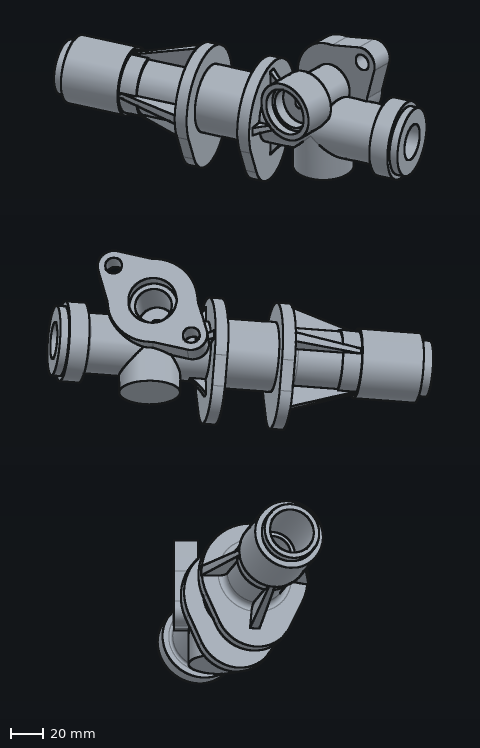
import cadquery as cq
import math

DIAGONAL = math.sqrt(0.5)

LENGTH = 236.3
STUB_END = 6.8
BODY_END = 45.4
SHOULDER_END = 57.3
FLANGE_THICKNESS = 8.1
FLANGE_STARTS = (90.0, 132.6)
COLLAR_START = 218.6
COLLAR_END = 230.9
STUB_RADIUS = 17.5
BODY_RADIUS = 21.8
SHOULDER_RADIUS = 20.0
NECK_RADIUS = 19.0
COLLAR_RADIUS = 25.0
FLANGE_FILLET = 4.5
COLLAR_FILLET = 2.0

BORE_RADIUS = 11.4
COUNTERBORE_RADIUS = 14.0

FLANGE_RADIUS = 34.0
FLANGE_TIP_RADIUS = 25.0
FLANGE_BOTTOM = 46.35

RIB_ANGLE = 10.0
RIB_ROOT_DEPTH = 2.0
LONG_RIB_START = 46.3
LONG_RIB_TOP = 34.6
SHORT_RIB_LENGTH = 9.8
SHORT_RIB_TOP = 29.2
SHORT_RIB_HOLLOW = 0.9

BRANCH_X = 175.8
BRANCH_RADIUS = NECK_RADIUS
BRANCH_BOTTOM = 30.2

PORT_ANGLE = 15.0
PORT_FACE_X = 163.7
PORT_FACE_Y = -30.8
PORT_Z = 20.0
PORT_COLLAR_RADIUS = 19.0
PORT_COLLAR_LENGTH = 21.8
PORT_SHAFT_RADIUS = 14.0
MOUTH_RADIUS = 15.0
MOUTH_DEPTH = 6.0
SOCKET_RADIUS = 13.0
SOCKET_DEPTH = 14.0
WEB_THICKNESS = 8.2
WEB_HOLE_RADIUS = 3.2
PORT_BORE_RADIUS = BORE_RADIUS
REAR_RECESS_RADIUS = MOUTH_RADIUS
REAR_RECESS_DEPTH = 9.0

PLATE_DISTANCE = 46.0
PLATE_THICKNESS = 15.0
PLATE_FAR_SIDE = PLATE_DISTANCE + PLATE_THICKNESS
PLATE_RADIUS = 28.0
EAR_OFFSET = 24.14
EAR_RADIUS = 10.0
EAR_HOLE_RADIUS = 5.2


def x_cylinder(start, end, radius):
    """Cylinder on the main axis between two X stations."""
    return cq.Workplane("YZ", origin=(start, 0, 0)).circle(radius).extrude(end - start)


def main_tube():
    """Revolved outside of the tube, with fillets where the neck meets a flange and the collar."""
    flange_face = FLANGE_STARTS[0]
    middle_end = FLANGE_STARTS[1] + FLANGE_THICKNESS
    bulge = 1 - DIAGONAL
    profile = (
        cq.Workplane("XY")
        .moveTo(0, 0)
        .lineTo(0, STUB_RADIUS)
        .lineTo(STUB_END, STUB_RADIUS)
        .lineTo(STUB_END, BODY_RADIUS)
        .lineTo(BODY_END, BODY_RADIUS)
        .lineTo(BODY_END, SHOULDER_RADIUS)
        .lineTo(SHOULDER_END, SHOULDER_RADIUS)
        .lineTo(SHOULDER_END, NECK_RADIUS)
        .lineTo(flange_face - FLANGE_FILLET, NECK_RADIUS)
        .threePointArc(
            (
                flange_face - FLANGE_FILLET * bulge,
                NECK_RADIUS + FLANGE_FILLET * bulge,
            ),
            (flange_face, NECK_RADIUS + FLANGE_FILLET),
        )
        .lineTo(flange_face + FLANGE_THICKNESS, NECK_RADIUS + FLANGE_FILLET)
        .lineTo(flange_face + FLANGE_THICKNESS, BODY_RADIUS)
        .lineTo(middle_end, BODY_RADIUS)
        .lineTo(middle_end, NECK_RADIUS)
        .lineTo(COLLAR_START - COLLAR_FILLET, NECK_RADIUS)
        .threePointArc(
            (
                COLLAR_START - COLLAR_FILLET * bulge,
                NECK_RADIUS + COLLAR_FILLET * bulge,
            ),
            (COLLAR_START, NECK_RADIUS + COLLAR_FILLET),
        )
        .lineTo(COLLAR_START, COLLAR_RADIUS)
        .lineTo(COLLAR_END, COLLAR_RADIUS)
        .lineTo(COLLAR_END, BODY_RADIUS)
        .lineTo(LENGTH, BODY_RADIUS)
        .lineTo(LENGTH, 0)
        .close()
    )
    return profile.revolve(360, (0, 0, 0), (1, 0, 0))


def tube_flange(start):
    """Disc around the tube joined by tangent lines to a smaller round tip below."""
    tip_z = FLANGE_TIP_RADIUS - FLANGE_BOTTOM
    rise = (FLANGE_RADIUS - FLANGE_TIP_RADIUS) / tip_z
    run = math.sqrt(1 - rise**2)
    upper = (FLANGE_RADIUS * run, FLANGE_RADIUS * rise)
    lower = (FLANGE_TIP_RADIUS * run, tip_z + FLANGE_TIP_RADIUS * rise)
    return (
        cq.Workplane("YZ", origin=(start, 0, 0))
        .moveTo(*upper)
        .threePointArc((0, FLANGE_RADIUS), (-upper[0], upper[1]))
        .lineTo(-lower[0], lower[1])
        .threePointArc((0, -FLANGE_BOTTOM), lower)
        .close()
        .extrude(FLANGE_THICKNESS)
    )


def rib_set(low_x, low_radius, high_x, high_radius, hollow=0):
    """Four sloping ribs, each a sector of a ring; hollow is how far the slope bows inward."""
    base_radius = NECK_RADIUS - RIB_ROOT_DEPTH
    ring_section = cq.Workplane("XY").moveTo(low_x, base_radius).lineTo(low_x, low_radius)
    if hollow:
        middle = ((low_x + high_x) / 2, (low_radius + high_radius) / 2 - hollow)
        ring_section = ring_section.threePointArc(middle, (high_x, high_radius))
    else:
        ring_section = ring_section.lineTo(high_x, high_radius)
    ring_section = ring_section.lineTo(high_x, base_radius).close()
    rib = ring_section.revolve(RIB_ANGLE, (0, 0, 0), (1, 0, 0))
    rib = rib.rotate((0, 0, 0), (1, 0, 0), -RIB_ANGLE / 2)
    ribs = rib
    for quarter in range(1, 4):
        ribs = ribs.union(rib.rotate((0, 0, 0), (1, 0, 0), 90 * quarter))
    return ribs


def port_plane(depth):
    """Plane across the cross port, with local x outward in +X and local y along +Z."""
    turn = math.radians(PORT_ANGLE)
    origin = (
        PORT_FACE_X + depth * math.sin(turn),
        PORT_FACE_Y + depth * math.cos(turn),
        PORT_Z,
    )
    return cq.Plane(
        origin=origin,
        xDir=(math.cos(turn), -math.sin(turn), 0),
        normal=(-math.sin(turn), -math.cos(turn), 0),
    )


def port_cylinder(start, end, radius):
    """Cylinder on the port axis between two depths from the port face."""
    return cq.Workplane(port_plane(start)).circle(radius).extrude(start - end)


def mounting_plate():
    """Two-eared plate, edges tangent to the ears, and the cylinders that drill the ears."""
    rise = EAR_OFFSET - PLATE_RADIUS
    span = math.hypot(EAR_OFFSET, rise)
    slope = math.atan2(rise, EAR_OFFSET) + math.asin(EAR_RADIUS / span)
    touch_x = EAR_OFFSET - EAR_RADIUS * math.sin(slope)
    touch_y = EAR_OFFSET + EAR_RADIUS * math.cos(slope)
    ear_tip = EAR_OFFSET + EAR_RADIUS * DIAGONAL
    round_side = PLATE_RADIUS * DIAGONAL
    outline = (
        cq.Workplane(port_plane(PLATE_FAR_SIDE))
        .moveTo(0, PLATE_RADIUS)
        .lineTo(touch_x, touch_y)
        .threePointArc((ear_tip, ear_tip), (touch_y, touch_x))
        .lineTo(PLATE_RADIUS, 0)
        .threePointArc((round_side, -round_side), (0, -PLATE_RADIUS))
        .lineTo(-touch_x, -touch_y)
        .threePointArc((-ear_tip, -ear_tip), (-touch_y, -touch_x))
        .lineTo(-PLATE_RADIUS, 0)
        .threePointArc((-round_side, round_side), (0, PLATE_RADIUS))
        .close()
    )
    ear_holes = (
        cq.Workplane(port_plane(PLATE_FAR_SIDE))
        .pushPoints([(EAR_OFFSET, EAR_OFFSET), (-EAR_OFFSET, -EAR_OFFSET)])
        .circle(EAR_HOLE_RADIUS)
        .extrude(PLATE_THICKNESS)
    )
    return outline.extrude(PLATE_THICKNESS), ear_holes


def port_openings():
    """Stepped front socket, small hole through the web, rear bore and its recess in the plate."""
    bore_start = SOCKET_DEPTH + WEB_THICKNESS
    return (
        port_cylinder(0, MOUTH_DEPTH, MOUTH_RADIUS)
        .union(port_cylinder(0, SOCKET_DEPTH, SOCKET_RADIUS))
        .union(port_cylinder(0, PLATE_FAR_SIDE, WEB_HOLE_RADIUS))
        .union(port_cylinder(bore_start, PLATE_FAR_SIDE, PORT_BORE_RADIUS))
        .union(port_cylinder(PLATE_FAR_SIDE - REAR_RECESS_DEPTH, PLATE_FAR_SIDE, REAR_RECESS_RADIUS))
    )


solid = main_tube()
for flange_start in FLANGE_STARTS:
    solid = solid.union(tube_flange(flange_start))
solid = solid.union(rib_set(LONG_RIB_START, SHOULDER_RADIUS, FLANGE_STARTS[0], LONG_RIB_TOP))
second_face = FLANGE_STARTS[1] + FLANGE_THICKNESS
short_rib_end = second_face + SHORT_RIB_LENGTH
solid = solid.union(
    rib_set(short_rib_end, NECK_RADIUS, second_face, SHORT_RIB_TOP, SHORT_RIB_HOLLOW)
)

branch = cq.Workplane("XY", origin=(BRANCH_X, 0, 0)).circle(BRANCH_RADIUS).extrude(-BRANCH_BOTTOM)
solid = solid.union(branch)

plate, plate_holes = mounting_plate()
solid = solid.union(port_cylinder(0, PORT_COLLAR_LENGTH, PORT_COLLAR_RADIUS))
solid = solid.union(port_cylinder(0, PLATE_DISTANCE, PORT_SHAFT_RADIUS))
solid = solid.union(plate)
solid = solid.cut(port_openings()).cut(plate_holes)

solid = solid.cut(x_cylinder(0, LENGTH, BORE_RADIUS))
solid = solid.cut(x_cylinder(0, BODY_END, COUNTERBORE_RADIUS))

result = solid